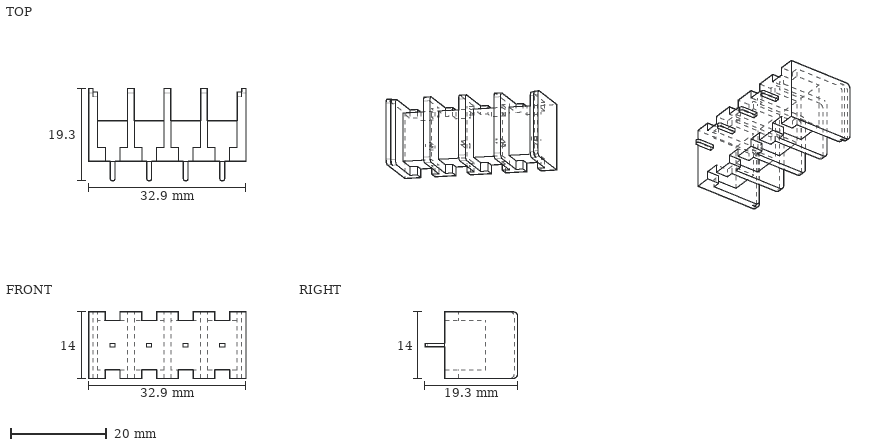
import cadquery as cq

length = 32.85
depth = 15.25
height = 14.0
corner_radius = 1.02

terminal_count = 4
pitch = 7.62

divider_thickness = 1.45
end_wall_thickness = 1.87
end_wall_skin = end_wall_thickness / 2
lip_depth = 0.72

core_depth = 8.5
flange_depth = 2.85
notch_width = 3.05
notch_depth = 1.85

pin_length = 4.07
pin_width = 1.05
pin_thickness = 0.75


def centered_positions(count):
    """X positions of a row of features spaced by the pitch about X = 0."""
    return [(i - (count - 1) / 2) * pitch for i in range(count)]


def block(x_center, x_size, y_size, z_size):
    """Box standing on the solder face, centred on Z = 0."""
    return cq.Workplane("XY").box(x_size, y_size, z_size).translate((x_center, y_size / 2, 0))


def wall(x_center, thickness, wall_depth):
    """Full-height wall with its two far corners rounded."""
    return block(x_center, thickness, wall_depth, height).edges("|X and >Y").fillet(corner_radius)


def end_wall(side):
    """End wall whose inner half stops short of the outer skin, leaving a lip."""
    skin = wall(side * (length - end_wall_skin) / 2, end_wall_skin, depth)
    inner_center = side * (length / 2 - 1.5 * end_wall_skin)
    inner = wall(inner_center, end_wall_skin, depth - lip_depth)
    return skin.union(inner)


def notched_flange():
    """Flange along the solder face, notched top and bottom at each terminal."""
    flange = block(0, length, flange_depth, height)
    notch_offset = (height - notch_depth) / 2
    for x in centered_positions(terminal_count):
        notch = block(x, notch_width, flange_depth, notch_depth)
        for side in (-1, 1):
            flange = flange.cut(notch.translate((0, 0, side * notch_offset)))
    return flange


def pin(x_center):
    """Flat solder pin with a fully rounded tip."""
    tip_radius = pin_width / 2
    shoulder = tip_radius - pin_length
    return (
        cq.Workplane("XY")
        .moveTo(x_center - tip_radius, 0)
        .lineTo(x_center - tip_radius, shoulder)
        .threePointArc((x_center, -pin_length), (x_center + tip_radius, shoulder))
        .lineTo(x_center + tip_radius, 0)
        .close()
        .extrude(pin_thickness / 2, both=True)
    )


core = block(0, length - 2 * end_wall_skin, core_depth, height - 2 * notch_depth)
result = core.union(notched_flange())

for side in (-1, 1):
    result = result.union(end_wall(side))

for x in centered_positions(terminal_count - 1):
    result = result.union(wall(x, divider_thickness, depth))

for x in centered_positions(terminal_count):
    result = result.union(pin(x))